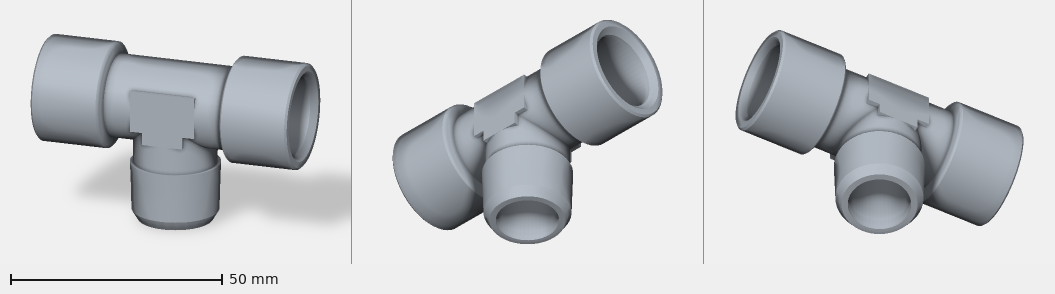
import cadquery as cq
import math

RUN_LENGTH = 64.0
TUBE_RADIUS = 10.0
BORE_RADIUS = 7.5

COLLAR_RADIUS = 12.75
COLLAR_LENGTH = 17.4
COLLAR_MOUTH_CHAMFER = 0.5
SHOULDER_ANGLE = math.radians(15)
SHOULDER_ROUND = 1.5
ROUND_START_ANGLE = math.radians(36)
SOCKET_RADIUS = 9.3
SOCKET_DEPTH = 15.0
SOCKET_MOUTH_RADIUS = 10.8
SOCKET_MOUTH_DEPTH = SOCKET_MOUTH_RADIUS - SOCKET_RADIUS
SOCKET_FLOOR_ANGLE = math.radians(30)
SOCKET_FLOOR_DEPTH = SOCKET_DEPTH + (SOCKET_RADIUS - BORE_RADIUS) * math.tan(SOCKET_FLOOR_ANGLE)

BRANCH_END_Z = -29.0
SPIGOT_TOP_Z = -14.75
SPIGOT_TOP_RADIUS = 10.8
TAPER_RADIUS_RATE = 1 / 32
TIP_CHAMFER_HEIGHT = 2.4
TIP_RADIUS = 9.0

PAD_WIDTH = 16.0
PAD_HALF_HEIGHT = 5.0
PAD_TAB_WIDTH = 10.0
PAD_TAB_BOTTOM_Z = -8.0


def make_tube():
    return cq.Workplane("YZ").circle(TUBE_RADIUS).extrude(RUN_LENGTH / 2, both=True)


def make_collar():
    """Collar on the -X end: chamfered mouth and rounded, sloping shoulder."""
    mouth_x = -RUN_LENGTH / 2
    shoulder_foot_x = mouth_x + COLLAR_LENGTH
    round_end_angle = math.pi / 2 - SHOULDER_ANGLE
    round_middle_angle = (ROUND_START_ANGLE + round_end_angle) / 2
    round_center_radius = COLLAR_RADIUS - SHOULDER_ROUND * math.cos(ROUND_START_ANGLE)
    round_end_radius = round_center_radius + SHOULDER_ROUND * math.cos(round_end_angle)
    slope_length = (round_end_radius - TUBE_RADIUS) * math.tan(SHOULDER_ANGLE)
    round_center_x = shoulder_foot_x - slope_length - SHOULDER_ROUND * math.sin(round_end_angle)

    def round_point(angle):
        return (
            round_center_x + SHOULDER_ROUND * math.sin(angle),
            round_center_radius + SHOULDER_ROUND * math.cos(angle),
        )

    return (
        cq.Workplane("XY")
        .moveTo(mouth_x, 0)
        .lineTo(mouth_x, COLLAR_RADIUS - COLLAR_MOUTH_CHAMFER)
        .lineTo(mouth_x + COLLAR_MOUTH_CHAMFER, COLLAR_RADIUS)
        .lineTo(*round_point(ROUND_START_ANGLE))
        .threePointArc(round_point(round_middle_angle), round_point(round_end_angle))
        .lineTo(shoulder_foot_x, TUBE_RADIUS)
        .lineTo(shoulder_foot_x, 0)
        .close()
        .revolve(360, (0, 0, 0), (1, 0, 0))
    )


def make_socket():
    """Cutter for the -X socket: countersunk mouth, straight wall, conical floor."""
    mouth_x = -RUN_LENGTH / 2
    return (
        cq.Workplane("XY")
        .moveTo(mouth_x, 0)
        .lineTo(mouth_x, SOCKET_MOUTH_RADIUS)
        .lineTo(mouth_x + SOCKET_MOUTH_DEPTH, SOCKET_RADIUS)
        .lineTo(mouth_x + SOCKET_DEPTH, SOCKET_RADIUS)
        .lineTo(mouth_x + SOCKET_FLOOR_DEPTH, BORE_RADIUS)
        .lineTo(mouth_x + SOCKET_FLOOR_DEPTH, 0)
        .close()
        .revolve(360, (0, 0, 0), (1, 0, 0))
    )


def make_branch():
    """Neck, tapered spigot and chamfered tip, turned about Z."""
    taper_end_z = BRANCH_END_Z + TIP_CHAMFER_HEIGHT
    taper_end_radius = SPIGOT_TOP_RADIUS - (SPIGOT_TOP_Z - taper_end_z) * TAPER_RADIUS_RATE
    return (
        cq.Workplane("XZ")
        .lineTo(TUBE_RADIUS, 0)
        .lineTo(TUBE_RADIUS, SPIGOT_TOP_Z)
        .lineTo(SPIGOT_TOP_RADIUS, SPIGOT_TOP_Z)
        .lineTo(taper_end_radius, taper_end_z)
        .lineTo(TIP_RADIUS, BRANCH_END_Z)
        .lineTo(0, BRANCH_END_Z)
        .close()
        .revolve(360, (0, 0, 0), (0, 1, 0))
    )


def make_pads():
    """One T-shaped block through the part; its two faces form the flat pads."""
    half_width = PAD_WIDTH / 2
    half_tab = PAD_TAB_WIDTH / 2
    return (
        cq.Workplane("XZ")
        .moveTo(-half_width, PAD_HALF_HEIGHT)
        .lineTo(half_width, PAD_HALF_HEIGHT)
        .lineTo(half_width, -PAD_HALF_HEIGHT)
        .lineTo(half_tab, -PAD_HALF_HEIGHT)
        .lineTo(half_tab, PAD_TAB_BOTTOM_Z)
        .lineTo(-half_tab, PAD_TAB_BOTTOM_Z)
        .lineTo(-half_tab, -PAD_HALF_HEIGHT)
        .lineTo(-half_width, -PAD_HALF_HEIGHT)
        .close()
        .extrude(TUBE_RADIUS, both=True)
    )


def on_both_ends(shape):
    return [shape, shape.mirror("YZ")]


body = make_tube().union(make_branch()).union(make_pads())
for collar in on_both_ends(make_collar()):
    body = body.union(collar)

run_bore = cq.Workplane("YZ").circle(BORE_RADIUS).extrude(RUN_LENGTH / 2, both=True)
branch_bore = cq.Workplane("XY").circle(BORE_RADIUS).extrude(BRANCH_END_Z)
body = body.cut(run_bore).cut(branch_bore)
for socket in on_both_ends(make_socket()):
    body = body.cut(socket)

result = body